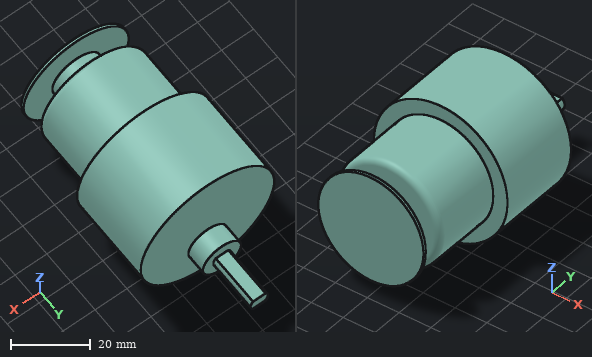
import cadquery as cq

total_length = 77.0
disc_thickness = 1.0
neck_length = 6.0
motor_length = 22.0
gearbox_length = 26.5
boss_length = 6.0

gearbox_diameter = 42.0
motor_diameter = 33.0
disc_diameter = motor_diameter
neck_diameter = 15.0
boss_diameter = 12.0
shaft_diameter = 5.5
shaft_flat_width = 3.8

motor_rear_fillet = 2.0
output_offset = 8.0

neck_start = disc_thickness
motor_start = neck_start + neck_length
gearbox_start = motor_start + motor_length
boss_start = gearbox_start + gearbox_length
shaft_start = boss_start + boss_length
shaft_length = total_length - shaft_start


def cylinder_along_y(diameter, start, length, z=0.0):
    """Cylinder running in +Y from Y = start, with its axis at height z."""
    plane = cq.Plane(origin=(0, start, z), xDir=(1, 0, 0), normal=(0, 1, 0))
    return cq.Workplane(plane).circle(diameter / 2).extrude(length)


def output_shaft():
    """Round shaft with flats on its upper and lower sides."""
    shaft = cylinder_along_y(shaft_diameter, shaft_start, shaft_length, -output_offset)
    flats = cq.Workplane("XY").box(
        shaft_diameter, shaft_length, shaft_flat_width, centered=(True, False, True)
    )
    return shaft.intersect(flats.translate((0, shaft_start, -output_offset)))


disc = cylinder_along_y(disc_diameter, 0, disc_thickness)
neck = cylinder_along_y(neck_diameter, neck_start, neck_length)
motor = cylinder_along_y(motor_diameter, motor_start, motor_length)
motor = motor.faces("<Y").edges().fillet(motor_rear_fillet)
gearbox = cylinder_along_y(gearbox_diameter, gearbox_start, gearbox_length)
boss = cylinder_along_y(boss_diameter, boss_start, boss_length, -output_offset)

result = disc.union(neck).union(motor).union(gearbox).union(boss).union(output_shaft())